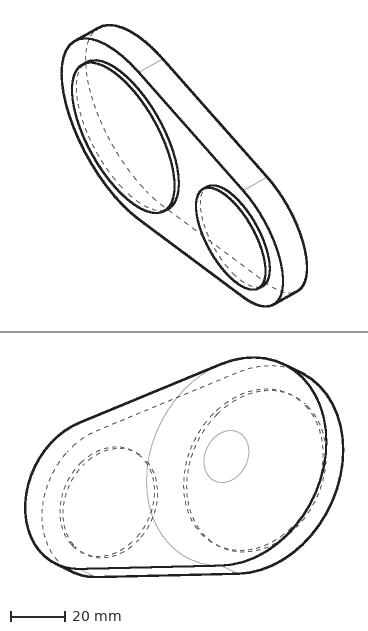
import cadquery as cq
import math

overall_length = 133.9
large_end_radius = 80.0 / 2
center_distance = 65.0
small_end_radius = overall_length - large_end_radius - center_distance
plate_thickness = 11.2

large_disc_diameter = 62.0
small_disc_diameter = 42.0
disc_height = 2.0

overall_depth = 20.0
dome_height = overall_depth - plate_thickness - disc_height
dome_base_radius = large_end_radius
dome_flat_radius = 20.0 / 2


def make_plate():
    """Tapered plate with its front face on Y = 0 and the large end at the origin."""
    tangent_sine = (large_end_radius - small_end_radius) / center_distance
    tangent_cosine = math.sqrt(1 - tangent_sine**2)
    large_x = large_end_radius * tangent_sine
    large_z = large_end_radius * tangent_cosine
    small_x = center_distance + small_end_radius * tangent_sine
    small_z = small_end_radius * tangent_cosine
    return (
        cq.Workplane("XZ")
        .moveTo(large_x, large_z)
        .lineTo(small_x, small_z)
        .threePointArc((center_distance + small_end_radius, 0), (small_x, -small_z))
        .lineTo(large_x, -large_z)
        .threePointArc((-large_end_radius, 0), (large_x, large_z))
        .close()
        .extrude(-plate_thickness)
    )


def make_disc(center_x, diameter):
    """Disc standing forward of the plate's front face."""
    return cq.Workplane("XZ").center(center_x, 0).circle(diameter / 2).extrude(disc_height)


def make_dome():
    """Flat-topped spherical cap on the back face, revolved about the large end's Y axis."""
    center_depth = (dome_base_radius**2 - dome_flat_radius**2 - dome_height**2) / (2 * dome_height)
    sphere_radius = math.hypot(dome_base_radius, center_depth)
    base_angle = math.asin(dome_base_radius / sphere_radius)
    flat_angle = math.asin(dome_flat_radius / sphere_radius)
    middle_angle = (base_angle + flat_angle) / 2
    arc_middle = (
        sphere_radius * math.sin(middle_angle),
        plate_thickness - center_depth + sphere_radius * math.cos(middle_angle),
    )
    top_y = plate_thickness + dome_height
    return (
        cq.Workplane("XY")
        .moveTo(0, plate_thickness)
        .lineTo(dome_base_radius, plate_thickness)
        .threePointArc(arc_middle, (dome_flat_radius, top_y))
        .lineTo(0, top_y)
        .close()
        .revolve(360, (0, 0, 0), (0, 1, 0))
    )


result = (
    make_plate()
    .union(make_disc(0, large_disc_diameter))
    .union(make_disc(center_distance, small_disc_diameter))
    .union(make_dome())
)